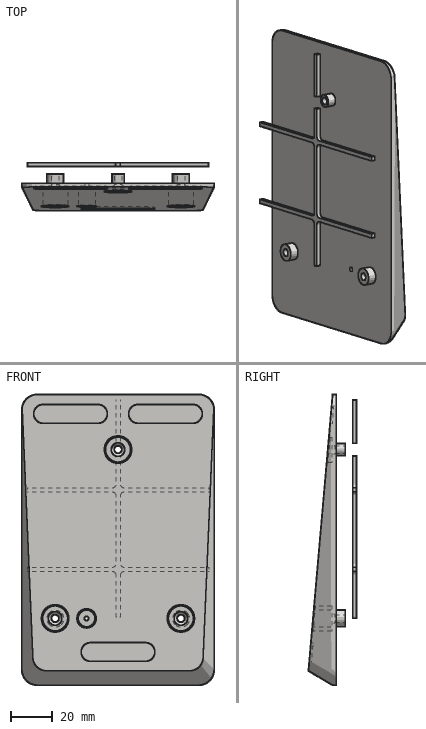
import cadquery as cq
import math


plate_width = 92.0
plate_height = 139.0
corner_radius = 7.6
lip_depth = 1.8
slope_angle = 5.0
side_draft_angle = 26.0
bottom_draft_angle = side_draft_angle + slope_angle
front_corner_radius = 6.3
lip_blend_radius = 4.0
slope_tan = math.tan(math.radians(slope_angle))
draft_depth = plate_height * slope_tan
cut_depth = lip_depth + 2 * draft_depth
top_overrun = 13.9
selection_margin = 0.01

slot_length = 35.2
slot_width = 9.0
slot_depth = 1.0
top_slot_x = 22.7
top_slot_z = 60.2
bottom_slot_z = -53.5

screw_x = 30.0
lower_hole_z = -37.5
upper_hole_z = 43.1
upper_boss_diameter = 6.0
lower_boss_diameter = 8.0
boss_height = 4.3
screw_hole_diameter = 3.5
sink_diameter = 6.5
sink_depth = (sink_diameter - screw_hole_diameter) / 2
screw_pocket_diameter = 12.0
pocket_floor_y = -2.2
small_hole_x = -screw_x / 2
small_hole_diameter = 2.0
small_pocket_diameter = 8.0
rim_chamfer = 0.5

bar_size = 2.0
bar_thickness = 2.0
bar_back_y = 9.7
cross_bar_length = 86.5
cross_bar_zs = (23.9, -14.0)
joint_radius = 2.0
spine_bottom_z = lower_hole_z
spine_gap = upper_boss_diameter
spine_top_z = upper_hole_z - spine_gap / 2
top_bar_bottom_z = upper_hole_z + spine_gap / 2
top_bar_top_z = 66.9


def back_plane(y):
    """XZ sketch plane at the given Y; extrusions run toward -Y."""
    return cq.Workplane("XZ", origin=(0, y, 0))


def u_outline(sketch, half_width, bottom, top, radius):
    """Upright outline with square top corners and rounded bottom corners."""
    diagonal = radius * (1 - math.sqrt(0.5))
    return (
        sketch.moveTo(half_width, top)
        .lineTo(half_width, bottom + radius)
        .threePointArc((half_width - diagonal, bottom + diagonal), (half_width - radius, bottom))
        .lineTo(-half_width + radius, bottom)
        .threePointArc((-half_width + diagonal, bottom + diagonal), (-half_width, bottom + radius))
        .lineTo(-half_width, top)
        .close()
    )


def make_wedge():
    half_width = plate_width / 2
    half_height = plate_height / 2
    blank_top = half_height + top_overrun
    side_inset = draft_depth * math.tan(math.radians(side_draft_angle))
    bottom_inset = draft_depth * math.tan(math.radians(bottom_draft_angle))

    lip = u_outline(back_plane(0), half_width, -half_height, blank_top, corner_radius).extrude(lip_depth)
    draft = u_outline(back_plane(-lip_depth), half_width, -half_height, blank_top, corner_radius)
    draft = u_outline(
        draft.workplane(offset=draft_depth),
        half_width - side_inset,
        -half_height + bottom_inset,
        blank_top,
        front_corner_radius,
    ).loft(ruled=True)
    blank = lip.union(draft)

    edge_zone = cq.selectors.BoxSelector(
        (-plate_width, -lip_depth - selection_margin, -plate_height),
        (plate_width, -lip_depth + selection_margin, blank_top - selection_margin),
        boundingbox=False,
    )
    blank = blank.edges(edge_zone).fillet(lip_blend_radius)

    behind_slope = (
        cq.Workplane("YZ", origin=(-half_width, 0, 0))
        .moveTo(0, -half_height)
        .lineTo(-lip_depth - draft_depth, -half_height)
        .lineTo(-lip_depth, half_height)
        .lineTo(0, half_height)
        .close()
        .extrude(plate_width)
    )
    outline = (
        back_plane(0)
        .rect(plate_width, plate_height)
        .extrude(cut_depth)
        .edges("|Y")
        .fillet(corner_radius)
    )
    return blank.intersect(behind_slope).intersect(outline)


def front_y(z):
    """Y of the sloped front face at height z."""
    return -lip_depth - (plate_height / 2 - z) * slope_tan


def make_slot(x, z):
    """Slot tool sunk square to the sloped front face."""
    slope = math.radians(slope_angle)
    plane = cq.Plane(
        origin=(x, front_y(z), z), xDir=(1, 0, 0), normal=(0, -math.cos(slope), math.sin(slope))
    )
    return cq.Workplane(plane).slot2D(slot_length, slot_width).extrude(slot_depth, both=True)


def add_boss(plate, x, z, diameter):
    boss = back_plane(boss_height).center(x, z).circle(diameter / 2).extrude(boss_height)
    return plate.union(boss)


def cut_pocket(plate, x, z, pocket_diameter, hole_diameter):
    """Flat pocket with a chamfered rim and a through hole."""
    pocket = back_plane(pocket_floor_y).center(x, z).circle(pocket_diameter / 2).extrude(cut_depth)
    hole = back_plane(boss_height).center(x, z).circle(hole_diameter / 2).extrude(cut_depth)
    plate = plate.cut(pocket)

    mouth_y = front_y(z)
    reach = pocket_diameter / 2 + rim_chamfer
    rise = reach * slope_tan + selection_margin
    rim = cq.selectors.BoxSelector(
        (x - reach, mouth_y - rise, z - reach),
        (x + reach, mouth_y + rise, z + reach),
        boundingbox=True,
    )
    return plate.edges(rim).chamfer(rim_chamfer).cut(hole)


def cut_countersink(plate, x, z):
    sink = cq.Solid.makeCone(
        sink_diameter / 2,
        screw_hole_diameter / 2,
        sink_depth,
        pnt=cq.Vector(x, pocket_floor_y, z),
        dir=cq.Vector(0, 1, 0),
    )
    return plate.cut(cq.Workplane(sink))


def make_plate():
    plate = make_wedge()
    for x, z in ((-top_slot_x, top_slot_z), (top_slot_x, top_slot_z), (0, bottom_slot_z)):
        plate = plate.cut(make_slot(x, z))

    screw_points = (
        (0, upper_hole_z, upper_boss_diameter),
        (-screw_x, lower_hole_z, lower_boss_diameter),
        (screw_x, lower_hole_z, lower_boss_diameter),
    )
    for x, z, boss_diameter in screw_points:
        plate = add_boss(plate, x, z, boss_diameter)
        plate = cut_pocket(plate, x, z, screw_pocket_diameter, screw_hole_diameter)
        plate = cut_countersink(plate, x, z)
    return cut_pocket(plate, small_hole_x, lower_hole_z, small_pocket_diameter, small_hole_diameter)


def make_bar(width, bottom, top):
    """Flat bar centred on X between two heights."""
    middle = (bottom + top) / 2
    return back_plane(bar_back_y).center(0, middle).rect(width, top - bottom).extrude(bar_thickness)


def make_cross_frame():
    """Spine with two cross bars, filleted where they meet and round at its lower end."""
    round_end_z = spine_bottom_z + bar_size / 2
    frame = make_bar(bar_size, round_end_z, spine_top_z)
    for z in cross_bar_zs:
        frame = frame.union(make_bar(cross_bar_length, z - bar_size / 2, z + bar_size / 2))
    joints = cq.selectors.BoxSelector(
        (-bar_size, 0, min(cross_bar_zs) - bar_size),
        (bar_size, bar_back_y, max(cross_bar_zs) + bar_size),
    )
    frame = frame.edges("|Y").edges(joints).fillet(joint_radius)
    round_end = back_plane(bar_back_y).center(0, round_end_z).circle(bar_size / 2).extrude(bar_thickness)
    return frame.union(round_end)


plate = make_plate()
cross_frame = make_cross_frame()
top_bar = make_bar(bar_size, top_bar_bottom_z, top_bar_top_z)

result = cq.Compound.makeCompound([plate.val(), cross_frame.val(), top_bar.val()])